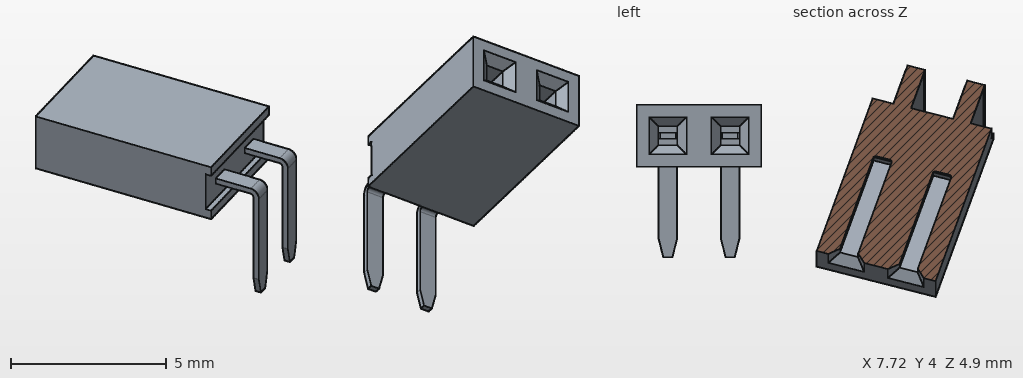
import cadquery as cq

pitch = 2.0
contact_count = 2
housing_length = 6.36
housing_width = pitch * contact_count
housing_height = 2.0
rear_lip_thickness = 0.33
rear_recess_depth = 0.2

funnel_mouth = 1.2
socket_side = 0.6
socket_depth = 4.0
funnel_depth = (funnel_mouth - socket_side) / 2

strip_width = 0.6
strip_thickness = 0.2
tail_back_x = 7.72
tail_end_z = -3.9
bend_outer_radius = 0.3
bend_inner_radius = bend_outer_radius - strip_thickness
tip_length = 0.6
tip_width = 0.3

lead_in_depth = 0.05
lead_in_floor_width = strip_width - 2 * lead_in_depth

contact_positions = [
    (index - (contact_count - 1) / 2) * pitch for index in range(contact_count)
]


def box(x_start, x_end, width, height):
    """Box from x_start to x_end, centred on the Y and Z axes."""
    return cq.Workplane("XY").box(x_end - x_start, width, height).translate(((x_start + x_end) / 2, 0, 0))


def make_housing():
    """Rectangular bar with a channel across its rear face."""
    bar = box(0, housing_length, housing_width, housing_height)
    channel_height = housing_height - 2 * rear_lip_thickness
    channel = box(housing_length - rear_recess_depth, housing_length, housing_width, channel_height)
    return bar.cut(channel)


def make_socket():
    """Funnel, square hole and contact lead-in, as one solid to cut away."""
    funnel = (
        cq.Workplane("YZ")
        .rect(funnel_mouth, funnel_mouth)
        .workplane(offset=funnel_depth)
        .rect(socket_side, socket_side)
        .loft(ruled=True)
    )
    hole = box(funnel_depth, socket_depth, socket_side, socket_side)
    lead_in_end = socket_depth + lead_in_depth
    lead_in = (
        cq.Workplane("XY")
        .polyline([
            (socket_depth, -strip_width / 2),
            (lead_in_end, -lead_in_floor_width / 2),
            (lead_in_end, lead_in_floor_width / 2),
            (socket_depth, strip_width / 2),
        ])
        .close()
        .extrude(strip_thickness / 2, both=True)
    )
    return funnel.union(hole).union(lead_in)


def make_contact():
    """Bent strip running from the socket floor to the solder tail."""
    half_thickness = strip_thickness / 2
    tail_front_x = tail_back_x - strip_thickness
    strip = (
        cq.Workplane("XZ")
        .moveTo(socket_depth, half_thickness)
        .lineTo(tail_back_x - bend_outer_radius, half_thickness)
        .radiusArc((tail_back_x, half_thickness - bend_outer_radius), bend_outer_radius)
        .lineTo(tail_back_x, tail_end_z)
        .lineTo(tail_front_x, tail_end_z)
        .lineTo(tail_front_x, -half_thickness - bend_inner_radius)
        .radiusArc((tail_front_x - bend_inner_radius, -half_thickness), -bend_inner_radius)
        .lineTo(socket_depth, -half_thickness)
        .close()
        .extrude(strip_width / 2, both=True)
    )
    for side in (-1, 1):
        strip = strip.cut(make_tip_corner(side, tail_front_x))
    return strip


def make_tip_corner(side, tail_front_x):
    """Wedge removed from one side of the solder tail to taper its tip."""
    return (
        cq.Workplane("YZ", origin=(tail_front_x, 0, 0))
        .polyline([
            (side * strip_width / 2, tail_end_z + tip_length),
            (side * strip_width / 2, tail_end_z),
            (side * tip_width / 2, tail_end_z),
        ])
        .close()
        .extrude(strip_thickness)
    )


result = make_housing()
for position in contact_positions:
    result = result.union(make_contact().translate((0, position, 0)))
    result = result.cut(make_socket().translate((0, position, 0)))